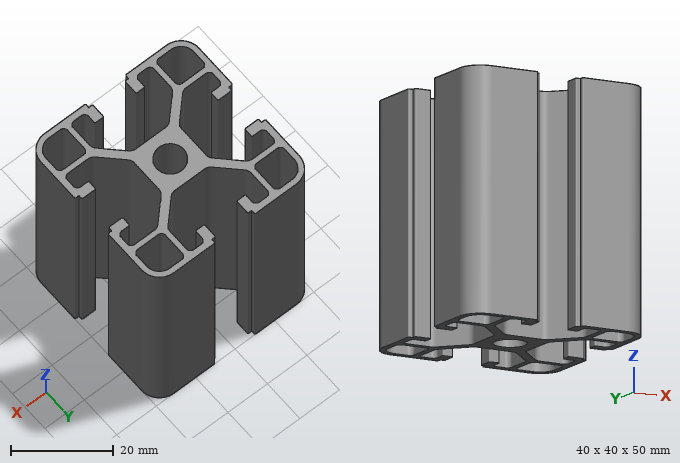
import cadquery as cq
import math

side = 40.0
length = 50.0
half_side = side / 2
corner_radius = 4.5
bore_diameter = 6.8

mouth_width = 10.1
mouth_depth = 1.0
opening_width = 8.2
lip_thickness = 2.25
lip_depth = 4.5
flange_thickness = 1.5
chamber_width = 20.5
hub_width = 12.0
strut_thickness = 2.0

outer_wall = 1.3
inner_wall = 1.25

lip_radius = 0.25
lip_root_radius = 1.0
chamber_radius = 1.0
strut_corner_radius = 2.0
hub_radius = 2.0
cavity_radius = 1.0

half_mouth = mouth_width / 2
half_opening = opening_width / 2
half_chamber = chamber_width / 2
lip_back = half_opening + lip_thickness
mouth_floor = half_side - mouth_depth
lip_tip = half_side - lip_depth
chamber_top = half_side - flange_thickness
hub_face = hub_width / 2
strut_offset = strut_thickness / math.sqrt(2)

mouth_edge = (half_mouth, half_side)
mouth_corner = (half_mouth, mouth_floor)
lip_front = (half_opening, mouth_floor)
lip_tip_front = (half_opening, lip_tip)
lip_tip_back = (lip_back, lip_tip)
lip_root = (lip_back, chamber_top)
chamber_corner = (half_chamber, chamber_top)
strut_outer_end = (half_chamber, half_chamber + strut_offset)
strut_hub_end = (hub_face - strut_offset, hub_face)


def make_slot():
    """T-slot opening on the +Y side, over the full length."""
    half_outline = [
        mouth_edge, mouth_corner, lip_front, lip_tip_front, lip_tip_back,
        lip_root, chamber_corner, strut_outer_end, strut_hub_end,
    ]
    mirrored = [(-x, y) for x, y in reversed(half_outline)]
    return cq.Workplane("XY").polyline(half_outline + mirrored).close().extrude(length)


def make_corner_cavity():
    """Closed chamber in the +X +Y corner, concentric with the outer rounding."""
    near = half_chamber + inner_wall
    size = half_side - outer_wall - near
    cavity = cq.Workplane("XY").rect(size, size, centered=False).extrude(length)
    cavity = cavity.translate((near, near, 0))
    cavity = cavity.edges("|Z").edges(">(1,1,0)").fillet(corner_radius - outer_wall)
    for selector in ("<(1,1,0)", ">(1,-1,0)", "<(1,-1,0)"):
        cavity = cavity.edges("|Z and (" + selector + ")").fillet(cavity_radius)
    return cavity


def round_slot_corner(body, corner, radius):
    """Round one slot corner wherever it repeats by mirror and quarter turn."""
    tolerance = 0.001
    wanted = sorted(corner)

    def matches(edge):
        center = edge.Center()
        found = sorted((abs(center.x), abs(center.y)))
        return all(abs(a - b) < tolerance for a, b in zip(found, wanted))

    return body.edges("|Z").filter(matches).fillet(radius)


def make_profile():
    body = cq.Workplane("XY").rect(side, side).extrude(length)
    body = body.edges("|Z").fillet(corner_radius)

    slot = make_slot()
    cavity = make_corner_cavity()
    for quarter in range(4):
        angle = quarter * 90
        body = body.cut(slot.rotate((0, 0, 0), (0, 0, 1), angle))
        body = body.cut(cavity.rotate((0, 0, 0), (0, 0, 1), angle))

    roundings = [
        (mouth_edge, lip_radius),
        (lip_front, lip_radius),
        (lip_tip_front, lip_radius),
        (lip_tip_back, lip_radius),
        (lip_root, lip_root_radius),
        (chamber_corner, chamber_radius),
        (strut_outer_end, strut_corner_radius),
        (strut_hub_end, hub_radius),
    ]
    for corner, radius in roundings:
        body = round_slot_corner(body, corner, radius)

    bore = cq.Workplane("XY").circle(bore_diameter / 2).extrude(length)
    return body.cut(bore)


result = make_profile()